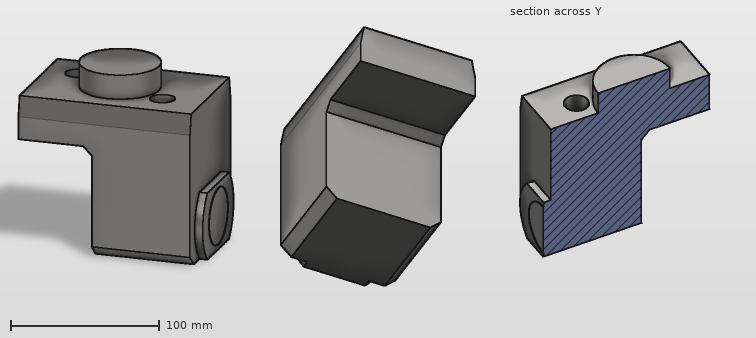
import cadquery as cq

body_length = 122.0
body_width = 86.0
body_height = 108.8
leg_start = 52.2
arm_underside = 78.5
inner_corner_chamfer = 6.1

top_bevel_width = 2.5
top_bevel_height = 14.1
bottom_bevel_width = 8.0
bottom_bevel_height = 7.5

boss_x = 58.0
boss_diameter = 55.4
boss_height = 17.2
hole_diameter = 17.0
hole_depth = 15.4
hole_offset_x = 35.5
hole_offset_y = 16.0

total_length = 128.0
flange_diameter = 66.0
flange_flat_height = 47.5
flange_center_z = flange_flat_height / 2
face_diameter = 40.0
face_height = 0.4
flange_thickness = total_length - body_length - face_height


def make_body():
    """Intersect the L-shaped side outline with the bevelled cross-section."""
    side_outline = (
        cq.Workplane("XZ")
        .moveTo(0, body_height)
        .lineTo(body_length, body_height)
        .lineTo(body_length, 0)
        .lineTo(leg_start, 0)
        .lineTo(leg_start, arm_underside - inner_corner_chamfer)
        .lineTo(leg_start - inner_corner_chamfer, arm_underside)
        .lineTo(0, arm_underside)
        .close()
        .extrude(body_width / 2, both=True)
    )
    half_width = body_width / 2
    half_section = [
        (half_width - bottom_bevel_width, 0),
        (half_width, bottom_bevel_height),
        (half_width, body_height - top_bevel_height),
        (half_width - top_bevel_width, body_height),
    ]
    mirrored_section = [(-y, z) for y, z in reversed(half_section)]
    section = (
        cq.Workplane("YZ")
        .polyline(half_section + mirrored_section)
        .close()
        .extrude(body_length)
    )
    return side_outline.intersect(section)


def make_boss():
    return (
        cq.Workplane("XY", origin=(boss_x, 0, body_height))
        .circle(boss_diameter / 2)
        .extrude(boss_height)
    )


def make_holes():
    """Blind holes on opposite sides of the boss."""
    return (
        cq.Workplane("XY", origin=(boss_x, 0, body_height))
        .pushPoints([(-hole_offset_x, hole_offset_y), (hole_offset_x, -hole_offset_y)])
        .circle(hole_diameter / 2)
        .extrude(-hole_depth)
    )


def make_end_flange():
    base = cq.Workplane("YZ", origin=(body_length, 0, flange_center_z))
    disc = base.circle(flange_diameter / 2).extrude(flange_thickness)
    flats = base.rect(flange_diameter, flange_flat_height).extrude(flange_thickness)
    raised_face = base.circle(face_diameter / 2).extrude(flange_thickness + face_height)
    return disc.intersect(flats).union(raised_face)


result = make_body().union(make_boss()).cut(make_holes()).union(make_end_flange())